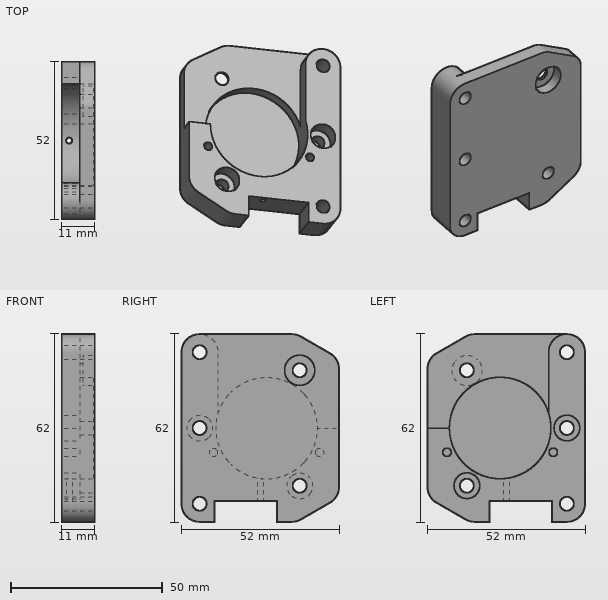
import cadquery as cq
import math

thickness = 11.0
width = 52.0
height = 62.0
corner_radius = 6.0
bevel_width = 14.0
bevel_height = bevel_width * math.tan(math.radians(30))

pocket_diameter = 33.5
pocket_depth = 10.5
pocket_y = 28.0
mid_z = height / 2
step_depth = 6.0
ridge_width = 2 * corner_radius

notch_start = 11.0
notch_width = 20.5
notch_height = 6.9

screw_diameter = 4.5
screw_y = corner_radius
far_screw_y = 39.0
far_screw_offset = 19.05
counterbore_diameter = 8.5
counterbore_depth = 6.0
back_counterbore_diameter = 10.0
back_ledge = 1.0

pin_diameter = 2.8
pin_depth = 6.0
pin_spacing = 35.0
pin_z = mid_z - 8.0
drain_diameter = 1.9
drain_x = 2.5
drain_y = 26.0


def box(x_size, y_size, z_size, corner):
    return cq.Workplane("XY").box(x_size, y_size, z_size, centered=False).translate(corner)


def bore(diameter, depth, y, z):
    """Cylinder running into the part from the X = 0 face."""
    return cq.Workplane("YZ").center(y, z).circle(diameter / 2).extrude(depth)


def make_plate(depth):
    outline = [
        (0, 0),
        (width - bevel_width, 0),
        (width, bevel_height),
        (width, height - bevel_height),
        (width - bevel_width, height),
        (0, height),
    ]
    plate = cq.Workplane("YZ").polyline(outline).close().extrude(depth)
    return plate.edges("|X").fillet(corner_radius)


def make_front_layer():
    """Lower half of the plate outline plus a round-topped ridge along Y = 0."""
    ridge_shoulder = height - corner_radius
    lower_half = make_plate(step_depth).intersect(box(step_depth, width, mid_z, (0, 0, 0)))
    ridge = (
        cq.Workplane("YZ")
        .moveTo(0, mid_z)
        .lineTo(ridge_width, mid_z)
        .lineTo(ridge_width, ridge_shoulder)
        .threePointArc((screw_y, height), (0, ridge_shoulder))
        .close()
        .extrude(step_depth)
    )
    return lower_half.union(ridge)


def make_back_layer():
    return make_plate(thickness - step_depth).translate((step_depth, 0, 0))


def make_notch():
    return box(thickness, notch_width, notch_height, (0, notch_start, 0))


result = make_front_layer().union(make_back_layer()).clean().cut(make_notch())
result = result.cut(bore(pocket_diameter, pocket_depth, pocket_y, mid_z))

screw_places = [
    (screw_y, corner_radius),
    (screw_y, mid_z),
    (screw_y, height - corner_radius),
    (far_screw_y, mid_z - far_screw_offset),
    (far_screw_y, mid_z + far_screw_offset),
]
for y, z in screw_places:
    result = result.cut(bore(screw_diameter, thickness, y, z))

counterbore_places = [(screw_y, mid_z), (far_screw_y, mid_z - far_screw_offset)]
for y, z in counterbore_places:
    result = result.cut(bore(counterbore_diameter, counterbore_depth, y, z))

back_counterbore_start = step_depth + back_ledge
back_counterbore = bore(
    back_counterbore_diameter, thickness - back_counterbore_start, far_screw_y, mid_z + far_screw_offset
).translate((back_counterbore_start, 0, 0))
result = result.cut(back_counterbore)

for side in (-1, 1):
    pin_y = pocket_y + side * pin_spacing / 2
    result = result.cut(bore(pin_diameter, pin_depth, pin_y, pin_z))

drain = cq.Workplane("XY").center(drain_x, drain_y).circle(drain_diameter / 2).extrude(mid_z)
result = result.cut(drain)